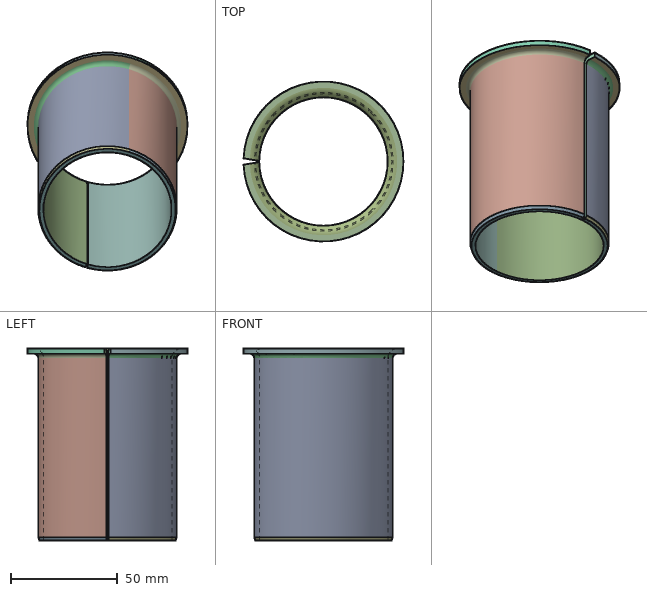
import cadquery as cq
import math

bore_diameter = 60.0
wall = 2.5
flange_diameter = 75.0
length = 90.0
neck_fillet = 2.0
chamfer_height = 1.7
chamfer_angle = 20.0
seam_at_bore = 0.4
seam_at_rim = 2.9

bore_radius = bore_diameter / 2
tube_radius = bore_radius + wall
flange_radius = flange_diameter / 2
mouth_radius = neck_fillet + wall
bend_radius = bore_radius + mouth_radius
bend_height = length - mouth_radius
chamfer_depth = chamfer_height * math.tan(math.radians(chamfer_angle))
cut_margin = 1.0


def bend_point(radius):
    """Point halfway round a quarter bend of the given radius, in the (radius, Z) plane."""
    reach = radius * math.sqrt(0.5)
    return (bend_radius - reach, bend_height + reach)


def bushing_body():
    """Tube of constant wall turned outwards into a flange at the top."""
    profile = (
        cq.Workplane("XZ")
        .moveTo(bore_radius, 0)
        .lineTo(tube_radius - chamfer_depth, 0)
        .lineTo(tube_radius, chamfer_height)
        .lineTo(tube_radius, bend_height)
        .threePointArc(bend_point(neck_fillet), (bend_radius, length - wall))
        .lineTo(flange_radius, length - wall)
        .lineTo(flange_radius, length)
        .lineTo(bend_radius, length)
        .threePointArc(bend_point(mouth_radius), (bore_radius, bend_height))
        .close()
    )
    return profile.revolve(360, (0, 0, 0), (0, 1, 0))


def seam_gap():
    """Full-length gap through the -X wall, widening in a V from the bore to the flange rim."""
    flare = (seam_at_rim - seam_at_bore) / (flange_radius - bore_radius)
    inner_radius = bore_radius - cut_margin
    outer_radius = flange_radius + cut_margin
    half_bore = seam_at_bore / 2
    half_outer = half_bore + flare * (outer_radius - bore_radius) / 2
    return (
        cq.Workplane("XY")
        .moveTo(-inner_radius, -half_bore)
        .lineTo(-bore_radius, -half_bore)
        .lineTo(-outer_radius, -half_outer)
        .lineTo(-outer_radius, half_outer)
        .lineTo(-bore_radius, half_bore)
        .lineTo(-inner_radius, half_bore)
        .close()
        .extrude(length)
    )


result = bushing_body().cut(seam_gap())